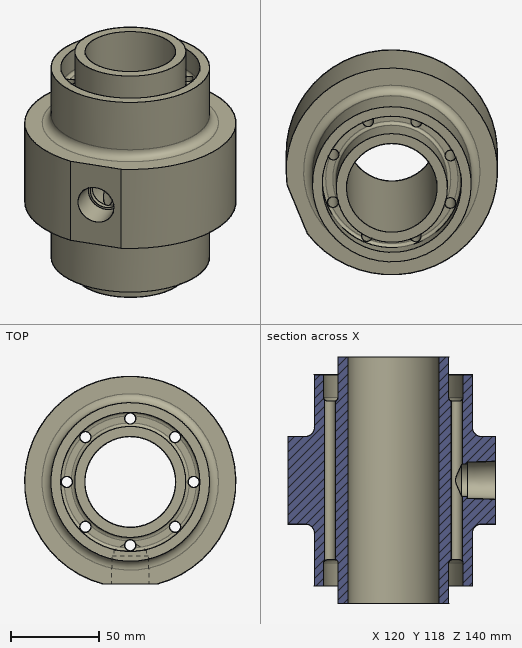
import cadquery as cq
import math

tube_height = 140.0
sleeve_height = 120.0
collar_height = 50.0

collar_diameter = 120.0
sleeve_diameter = 90.0
tube_diameter = 63.0
bore_diameter = 51.4
collar_fillet = 5.0

channel_outer_diameter = 79.0
channel_depth = 15.0
channel_fillet = 2.0

passage_count = 8
passage_diameter = 6.2
passage_circle_radius = 36.0

flat_width = 30.5
flat_distance = math.sqrt((collar_diameter / 2) ** 2 - (flat_width / 2) ** 2)
port_mouth_diameter = 21.5
port_taper = 1 / 16
port_shoulder_distance = 42.0
drill_diameter = 18.2
drill_end_distance = 38.8
drill_tip_angle = 120.0


def centred_cylinder(diameter, height):
    return cq.Workplane("XY").circle(diameter / 2).extrude(height / 2, both=True)


def make_body():
    """Sleeve and collar blended by concave fillets, with the flat cut on the collar."""
    sleeve_radius = sleeve_diameter / 2
    collar_radius = collar_diameter / 2
    collar_top = collar_height / 2
    upper_half = (
        cq.Workplane("XZ")
        .lineTo(collar_radius, 0)
        .lineTo(collar_radius, collar_top)
        .lineTo(sleeve_radius + collar_fillet, collar_top)
        .radiusArc((sleeve_radius, collar_top + collar_fillet), collar_fillet)
        .lineTo(sleeve_radius, sleeve_height / 2)
        .lineTo(0, sleeve_height / 2)
        .close()
        .revolve(360, (0, 0, 0), (0, 1, 0))
    )
    body = upper_half.union(upper_half.mirror("XY"))
    beyond_flat = cq.Workplane("XY").box(
        collar_diameter, collar_diameter, collar_height
    ).translate((0, -flat_distance - collar_diameter / 2, 0))
    return body.cut(beyond_flat)


def make_channel():
    """Upper channel volume, with its floor corners rounded."""
    floor_height = sleeve_height / 2 - channel_depth
    return (
        cq.Workplane("XY")
        .workplane(offset=floor_height)
        .circle(channel_outer_diameter / 2)
        .circle(tube_diameter / 2)
        .extrude(channel_depth)
        .faces("<Z")
        .edges()
        .fillet(channel_fillet)
    )


def make_passages():
    return (
        cq.Workplane("XY")
        .polarArray(passage_circle_radius, 0, 360, passage_count)
        .circle(passage_diameter / 2)
        .extrude(sleeve_height / 2, both=True)
    )


def make_port():
    """Revolved port volume: wide tapered bore, flat shoulder, narrower drill with a conical tip."""
    mouth_radius = port_mouth_diameter / 2
    port_length = flat_distance - port_shoulder_distance
    shoulder_radius = mouth_radius - port_taper * port_length / 2
    drill_radius = drill_diameter / 2
    tip_length = drill_radius / math.tan(math.radians(drill_tip_angle / 2))
    return (
        cq.Workplane("XY")
        .moveTo(0, -flat_distance)
        .lineTo(mouth_radius, -flat_distance)
        .lineTo(shoulder_radius, -port_shoulder_distance)
        .lineTo(drill_radius, -port_shoulder_distance)
        .lineTo(drill_radius, -drill_end_distance)
        .lineTo(0, -drill_end_distance + tip_length)
        .close()
        .revolve(360, (0, 0, 0), (0, 1, 0))
    )


upper_channel = make_channel()
joined_bodies = (
    make_body()
    .union(centred_cylinder(tube_diameter, tube_height))
    .cut(upper_channel)
    .cut(upper_channel.mirror("XY"))
)
result = (
    joined_bodies
    .cut(centred_cylinder(bore_diameter, tube_height))
    .cut(make_passages())
    .cut(make_port())
)